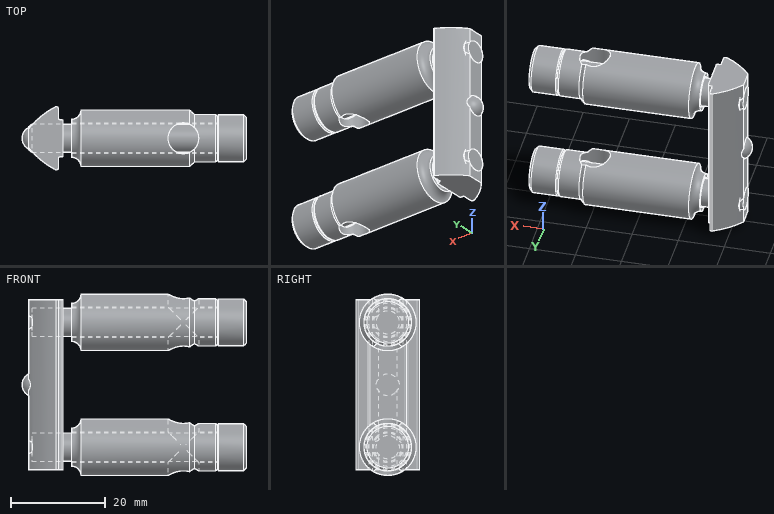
import cadquery as cq

stud_spacing = 26.4
stud_heights = (-stud_spacing / 2, stud_spacing / 2)

rail_length = 36.0
nose_half_width = 2.0
flank_radius = 17.5
flank_end_x = 5.8
rail_half_width = 6.75
shoulder_x = 6.35
edge_fillet = shoulder_x - flank_end_x
boss_half_width = 3.95
boss_fillet = 0.3
rail_back_x = 7.3

detent_radius = 2.5
dome_projection = 1.4
dome_base_x = 0.5
detent_root_x = shoulder_x

shank_radius = 3.0
shank_tip_radius = 4.92 / 2
tip_length = 0.7
cap_radius = 5.0
cap_start_x = 39.95
stud_end_x = 46.1
cap_start_chamfer = 0.25
cap_end_chamfer = 0.6

bore_radius = 6.5 / 2
sleeve_start_x = 9.1
sleeve_radius = 6.0
neck_radius = 4.05
cove_radius = sleeve_radius - neck_radius
collar_radius = 10.1 / 2
collar_chamfer = 0.4
shoulder_start_x = 34.05
shoulder_length = 1.05
cross_hole_diameter = 6.5
cross_hole_x = 32.75


def revolve_about_stud_axis(half_profile):
    """Revolve a closed half profile, drawn in XY, about the X axis."""
    return half_profile.close().revolve(360, (0, 0, 0), (1, 0, 0))


def make_rail():
    half_outline = (
        cq.Workplane("XY")
        .workplane(offset=-rail_length / 2)
        .lineTo(0, nose_half_width)
        .radiusArc((flank_end_x, rail_half_width), flank_radius)
        .radiusArc((shoulder_x, rail_half_width - edge_fillet), edge_fillet)
        .lineTo(shoulder_x, boss_half_width + boss_fillet)
        .radiusArc((shoulder_x + boss_fillet, boss_half_width), -boss_fillet)
        .lineTo(rail_back_x - boss_fillet, boss_half_width)
        .radiusArc((rail_back_x, boss_half_width - boss_fillet), boss_fillet)
        .lineTo(rail_back_x, 0)
        .close()
    )
    half_rail = half_outline.extrude(rail_length)
    rail = half_rail.union(half_rail.mirror("XZ"))
    rail = rail.union(make_detent())
    for height in stud_heights:
        rail = rail.cut(make_stud().translate((0, 0, height)))
    return rail


def make_detent():
    dome_height = dome_base_x + dome_projection
    dome_sphere_radius = (detent_radius**2 + dome_height**2) / (2 * dome_height)
    return revolve_about_stud_axis(
        cq.Workplane("XY")
        .moveTo(-dome_projection, 0)
        .radiusArc((dome_base_x, detent_radius), dome_sphere_radius)
        .lineTo(detent_root_x, detent_radius)
        .lineTo(detent_root_x, 0)
    )


def make_stud():
    return revolve_about_stud_axis(
        cq.Workplane("XY")
        .lineTo(0, shank_tip_radius)
        .lineTo(tip_length, shank_radius)
        .lineTo(cap_start_x, shank_radius)
        .lineTo(cap_start_x, cap_radius - cap_start_chamfer)
        .lineTo(cap_start_x + cap_start_chamfer, cap_radius)
        .lineTo(stud_end_x - cap_end_chamfer, cap_radius)
        .lineTo(stud_end_x, cap_radius - cap_end_chamfer)
        .lineTo(stud_end_x, 0)
    )


def make_sleeve():
    sleeve = revolve_about_stud_axis(
        cq.Workplane("XY")
        .moveTo(sleeve_start_x, bore_radius)
        .lineTo(sleeve_start_x, neck_radius)
        .radiusArc((sleeve_start_x + cove_radius, sleeve_radius), -cove_radius)
        .lineTo(shoulder_start_x, sleeve_radius)
        .lineTo(shoulder_start_x + shoulder_length, collar_radius)
        .lineTo(cap_start_x - collar_chamfer, collar_radius)
        .lineTo(cap_start_x, collar_radius - collar_chamfer)
        .lineTo(cap_start_x, bore_radius)
    )
    cross_hole = (
        cq.Workplane("XY")
        .center(cross_hole_x, 0)
        .circle(cross_hole_diameter / 2)
        .extrude(sleeve_radius, both=True)
    )
    return sleeve.cut(cross_hole)


rail = make_rail()
studs = [make_stud().translate((0, 0, height)) for height in stud_heights]
sleeves = [make_sleeve().translate((0, 0, height)) for height in stud_heights]

result = cq.Compound.makeCompound(
    [
        rail.val(),
        *[stud.val() for stud in studs],
        *[sleeve.val() for sleeve in sleeves],
    ]
)